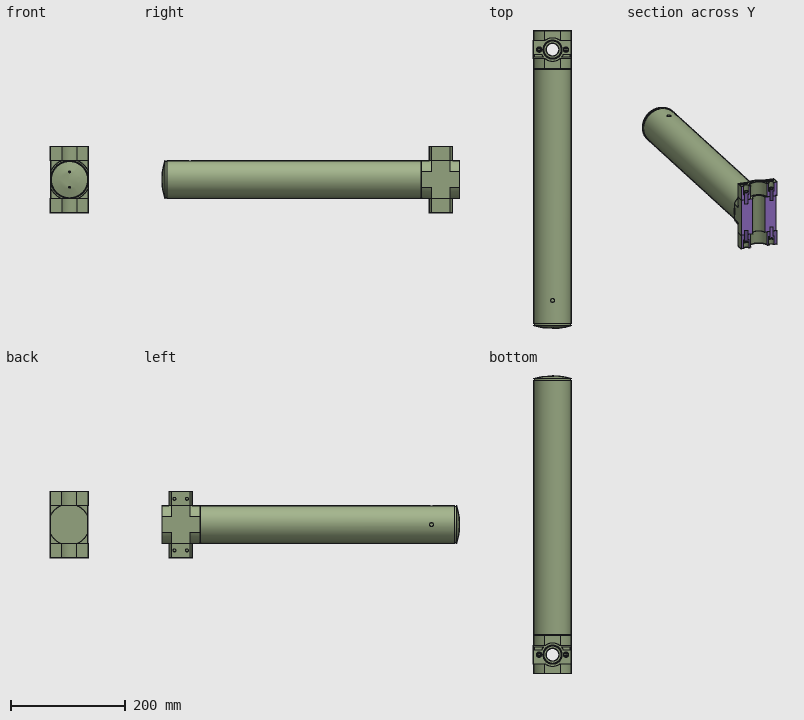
import cadquery as cq

OVERALL_LENGTH = 519.0

HEAD_WIDTH = 66.0
HEAD_ROUND_DIA = 71.5
HEAD_BACK_Y = HEAD_WIDTH / 2
HEAD_FRONT_Y = -33.0
BLOCK_DEPTH = 31.5
HEAD_BORE_DIA = 22.0

TOTAL_HEIGHT = 116.0
FLANGE_WIDTH = 67.0
FLANGE_OFFSET_X = HEAD_WIDTH / 2 - FLANGE_WIDTH / 2
FLANGE_BASE_Z = HEAD_WIDTH / 2
FLANGE_TOP_Z = TOTAL_HEIGHT / 2
FLANGE_HEIGHT = FLANGE_TOP_Z - FLANGE_BASE_Z
FLANGE_BOSS_DIA = 41.0
PORT_DIA = 30.0
PORT_CHAMFER = 1.5

RECESS_SPAN = 61.0
RECESS_WIDTH = 4.5
RECESS_Y = -11.0
RECESS_DEPTH = 0.5

SIDE_HOLE_DIA = 5.0
SIDE_HOLE_SPACING = 22.0
SIDE_HOLE_HEIGHT = 12.0
SIDE_HOLE_DEPTH = 8.0

SCREW_X = 23.5
SCREW_HEAD_DIA = 8.5
COUNTERBORE_DIA = 9.5
SCREW_HEAD_HEIGHT = 5.0
SCREW_RECESS = 10.5
SCREW_SHANK_DIA = 5.0
SCREW_SOCKET_DIA = 4.0
SCREW_SOCKET_DEPTH = 2.5
SCREW_ENGAGEMENT = 8.0
SCREW_SEAT_Z = FLANGE_TOP_Z - SCREW_RECESS - SCREW_HEAD_HEIGHT
SCREW_TIP_Z = FLANGE_BASE_Z - SCREW_ENGAGEMENT

BARREL_DIA = 66.0
NECK_DIA = 63.5
HEAD_NECK_LENGTH = 1.5
CAP_NECK_LENGTH = 3.5
DOME_HEIGHT = 5.0
CAP_TIP_Y = HEAD_BACK_Y - OVERALL_LENGTH
DOME_BASE_Y = CAP_TIP_Y + DOME_HEIGHT
BARREL_START_Y = HEAD_FRONT_Y - HEAD_NECK_LENGTH
BARREL_END_Y = DOME_BASE_Y + CAP_NECK_LENGTH

BARREL_HOLE_DIA = 7.0
BARREL_HOLE_DEPTH = 3.0
BARREL_HOLE_Y = -437.0

CAP_HOLE_DIA = 3.0
CAP_HOLE_Z = 13.5
CAP_HOLE_DEPTH = 5.0


def z_cylinder(diameter, bottom_z, top_z, x=0.0):
    """Upright cylinder between two heights, centred at (x, 0)."""
    return cq.Workplane("XY", origin=(x, 0, bottom_z)).circle(diameter / 2).extrude(top_z - bottom_z)


def both_ends(upper):
    """The upper body and its mirror image below the XY plane."""
    return [upper, upper.mirror("XY")]


def y_cylinder(diameter, start_y, length):
    """Cylinder on the barrel axis that runs from start_y toward -Y."""
    return cq.Workplane("XZ", origin=(0, start_y, 0)).circle(diameter / 2).extrude(length)


def make_head():
    head_length = HEAD_BACK_Y - HEAD_FRONT_Y
    envelope = cq.Workplane("XZ", origin=(0, HEAD_BACK_Y, 0))
    envelope = envelope.rect(HEAD_WIDTH, HEAD_WIDTH).extrude(head_length)
    flattened_round = y_cylinder(HEAD_ROUND_DIA, HEAD_BACK_Y, head_length).intersect(envelope)
    block = cq.Workplane("XY").box(HEAD_WIDTH, BLOCK_DEPTH, HEAD_WIDTH)
    head = flattened_round.union(block)
    head = head.cut(z_cylinder(HEAD_BORE_DIA, -FLANGE_BASE_Z, FLANGE_BASE_Z))
    for x in (-SCREW_X, SCREW_X):
        for screw_hole in both_ends(z_cylinder(SCREW_SHANK_DIA, SCREW_TIP_Z, FLANGE_BASE_Z, x)):
            head = head.cut(screw_hole)
    return head


def make_upper_flange():
    base = cq.Workplane("XY", origin=(FLANGE_OFFSET_X, 0, FLANGE_BASE_Z))
    flange = base.rect(FLANGE_WIDTH, BLOCK_DEPTH).extrude(FLANGE_HEIGHT)
    boss = z_cylinder(FLANGE_BOSS_DIA, FLANGE_BASE_Z, FLANGE_TOP_Z)
    flange = flange.union(boss)

    port = z_cylinder(PORT_DIA, FLANGE_BASE_Z, FLANGE_TOP_Z)
    flange = flange.cut(port)
    mouth = cq.Workplane("XY", origin=(0, 0, FLANGE_TOP_Z)).circle(PORT_DIA / 2 + PORT_CHAMFER)
    mouth = mouth.workplane(offset=-PORT_CHAMFER).circle(PORT_DIA / 2).loft()
    flange = flange.cut(mouth)

    recess = cq.Workplane("XY", origin=(FLANGE_OFFSET_X, RECESS_Y, FLANGE_TOP_Z - RECESS_DEPTH))
    recess = recess.rect(RECESS_SPAN, RECESS_WIDTH).extrude(RECESS_DEPTH).cut(boss)
    flange = flange.cut(recess)

    for x in (-SCREW_X, SCREW_X):
        flange = flange.cut(z_cylinder(SCREW_SHANK_DIA, FLANGE_BASE_Z, SCREW_SEAT_Z, x))
        flange = flange.cut(z_cylinder(COUNTERBORE_DIA, SCREW_SEAT_Z, FLANGE_TOP_Z, x))

    side_x = FLANGE_OFFSET_X - FLANGE_WIDTH / 2
    side = cq.Workplane("YZ", origin=(side_x, 0, FLANGE_BASE_Z + SIDE_HOLE_HEIGHT))
    side_holes = side.rarray(SIDE_HOLE_SPACING, 5, 2, 1).circle(SIDE_HOLE_DIA / 2).extrude(SIDE_HOLE_DEPTH)
    return flange.cut(side_holes)


def make_upper_screw(x):
    head_top_z = SCREW_SEAT_Z + SCREW_HEAD_HEIGHT
    shank = z_cylinder(SCREW_SHANK_DIA, SCREW_TIP_Z, SCREW_SEAT_Z, x)
    screw = shank.union(z_cylinder(SCREW_HEAD_DIA, SCREW_SEAT_Z, head_top_z, x))
    return screw.cut(z_cylinder(SCREW_SOCKET_DIA, head_top_z - SCREW_SOCKET_DEPTH, head_top_z, x))


def make_barrel():
    barrel = y_cylinder(BARREL_DIA, BARREL_START_Y, BARREL_START_Y - BARREL_END_Y)
    barrel = barrel.union(y_cylinder(NECK_DIA, HEAD_FRONT_Y, HEAD_NECK_LENGTH))
    hole_start = BARREL_DIA / 2 - BARREL_HOLE_DEPTH
    top_hole = cq.Workplane("XY", origin=(0, BARREL_HOLE_Y, hole_start))
    top_hole = top_hole.circle(BARREL_HOLE_DIA / 2).extrude(BARREL_HOLE_DEPTH)
    side_hole = cq.Workplane("YZ", origin=(-hole_start, BARREL_HOLE_Y, 0))
    side_hole = side_hole.circle(BARREL_HOLE_DIA / 2).extrude(-BARREL_HOLE_DEPTH)
    return barrel.cut(top_hole).cut(side_hole)


def make_cap():
    dome_radius = BARREL_DIA / 2
    sphere_radius = (dome_radius**2 + DOME_HEIGHT**2) / (2 * DOME_HEIGHT)
    mid_radius = dome_radius / 2
    mid_y = CAP_TIP_Y + sphere_radius - (sphere_radius**2 - mid_radius**2) ** 0.5
    profile = (
        cq.Workplane("XY")
        .moveTo(0, BARREL_END_Y)
        .lineTo(NECK_DIA / 2, BARREL_END_Y)
        .lineTo(NECK_DIA / 2, DOME_BASE_Y)
        .lineTo(dome_radius, DOME_BASE_Y)
        .threePointArc((mid_radius, mid_y), (0, CAP_TIP_Y))
        .close()
    )
    cap = profile.revolve(360, (0, 0, 0), (0, 1, 0))
    spanner_holes = cq.Workplane("XZ", origin=(0, CAP_TIP_Y + CAP_HOLE_DEPTH, 0))
    spanner_holes = spanner_holes.pushPoints([(0, -CAP_HOLE_Z), (0, CAP_HOLE_Z)])
    spanner_holes = spanner_holes.circle(CAP_HOLE_DIA / 2).extrude(CAP_HOLE_DEPTH)
    return cap.cut(spanner_holes)


head = make_head()
barrel = make_barrel()
cap = make_cap()
flanges = both_ends(make_upper_flange())
screws = []
for screw_x in (-SCREW_X, SCREW_X):
    screws.extend(both_ends(make_upper_screw(screw_x)))

bodies = [head, barrel, cap, *flanges, *screws]
result = cq.Compound.makeCompound([body.val() for body in bodies])